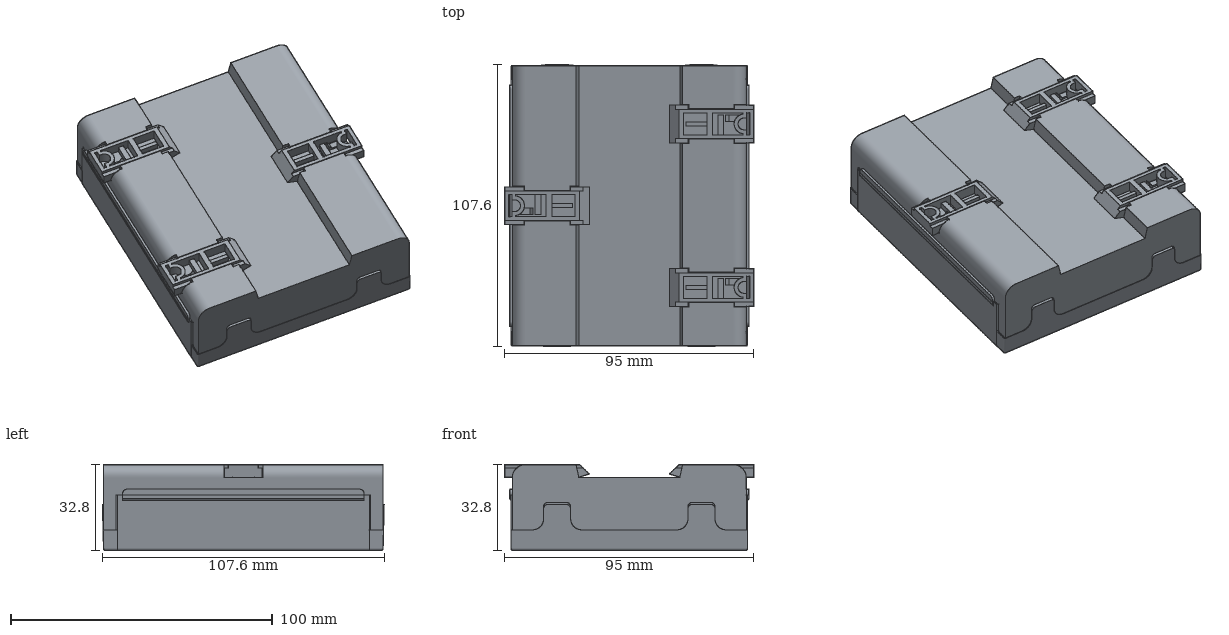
import cadquery as cq

overall_height = 32.8

housing_half_width = 44.6
wall_half_length = 53.3
shoulder_radius = 4.9
channel_floor_z = 28.0
channel_top_half_width = 20.3
channel_floor_half_width = 19.2

seam_z = 8.0
cover_half_width = 45.0
cover_bottom_fillet = 0.9
cover_corner_fillet = 0.5

flap_half_width = 45.2
flap_thickness = 2.2
flap_half_length = 48.0
flap_end_gap = 0.4
flap_top_z = 21.3

ridge_half_length = 46.0
ridge_bottom_z = 19.1
ridge_lip_z = 19.9
ridge_top_z = 23.4
ridge_lip_x = 45.7
ridge_top_x = 45.6
ridge_corner_radius = 1.6

tab_center_x = 27.5
tab_half_width = 5.2
tab_top_z = 17.6
tab_top_gap = 0.8
tab_corner_radius = 1.6
tab_flare_radius = 4.2
tab_thickness = 2.2
tab_top_half_length = 53.8

latch_outer_x = 47.5
latch_tip_x = 15.3
latch_tip_z = 29.2
latch_nose_top_x = 18.9
latch_y_spacing = 62.4
latch_clearance = 0.2
rail_half_width = 5.6
flange_half_width = 7.2
flange_top_z = 31.6
inner_flange_end_x = 22.5
outer_flange_start_x = 40.1

pocket_half_width = 4.2
pocket_floor_z = 28.5
nose_pocket_x = (20.7, 29.6)
main_pocket_x = (31.7, 43.4)
end_slot_x = (44.8, 45.9)
rib_top_z = 30.7
rib_start_x = 21.6
rib_half_width = 0.8
bar_x = (33.8, 35.9)
bar_free_y = 3.3
tooth_x = 36.7
tooth_slope_end_x = 38.0
tooth_foot_z = 29.2
tooth_y = (1.0, 3.3)
collar_center_x = 43.8
collar_outer_radius = 3.8
collar_inner_radius = 2.3


def block(x_range, y_range, z_range):
    """Box spanning the given (low, high) ranges."""
    size = [high - low for low, high in (x_range, y_range, z_range)]
    corner = (x_range[0], y_range[0], z_range[0])
    return cq.Workplane("XY").box(*size, centered=False).translate(corner)


def along_y(points, y_range):
    """Closed XZ polygon extruded over a Y range."""
    outline = cq.Workplane("XZ", origin=(0, y_range[1], 0)).polyline(points).close()
    return outline.extrude(y_range[1] - y_range[0])


def half_turn(shape):
    return shape.rotate((0, 0, 0), (0, 0, 1), 180)


def grip_ridge():
    """Whole ridge on the +X side, its top corners rounded."""
    root_x = flap_half_width - flap_thickness
    profile = [
        (root_x, ridge_bottom_z),
        (flap_half_width, ridge_bottom_z),
        (ridge_lip_x, ridge_lip_z),
        (ridge_top_x, ridge_top_z),
        (root_x, ridge_top_z),
    ]
    ridge = along_y(profile, (-ridge_half_length, ridge_half_length))
    rounding = (
        cq.Workplane("YZ")
        .rect(2 * ridge_half_length, 2 * ridge_top_z)
        .extrude(latch_outer_x)
        .edges("|X")
        .fillet(ridge_corner_radius)
    )
    return ridge.intersect(rounding)


def ridge_between(z_low, z_high):
    keep = block((0, latch_outer_x), (-wall_half_length, wall_half_length), (z_low, z_high))
    return grip_ridge().intersect(keep)


def leaning_envelope():
    """Space between the cover's end faces, which lean outward up to the tab tops."""
    return (
        cq.Workplane("YZ", origin=(-cover_half_width, 0, 0))
        .polyline([
            (-wall_half_length, 0),
            (wall_half_length, 0),
            (tab_top_half_length, tab_top_z),
            (-tab_top_half_length, tab_top_z),
        ])
        .close()
        .extrude(2 * cover_half_width)
    )


def tab_prism(top_z, outer_y):
    """Flared tab outline from the seam up, reaching from the tab's back face to outer_y."""
    shoulder_z = seam_z + tab_flare_radius
    corner_z = top_z - tab_corner_radius
    corner_x = tab_half_width - tab_corner_radius
    flare_x = tab_half_width + tab_flare_radius
    flare_mid = tab_flare_radius * 0.5 ** 0.5
    corner_mid = tab_corner_radius * 0.5 ** 0.5
    outline = (
        cq.Workplane("XZ", origin=(0, outer_y, 0))
        .moveTo(-flare_x, seam_z)
        .threePointArc((-flare_x + flare_mid, shoulder_z - flare_mid), (-tab_half_width, shoulder_z))
        .lineTo(-tab_half_width, corner_z)
        .threePointArc((-corner_x - corner_mid, corner_z + corner_mid), (-corner_x, top_z))
        .lineTo(corner_x, top_z)
        .threePointArc((corner_x + corner_mid, corner_z + corner_mid), (tab_half_width, corner_z))
        .lineTo(tab_half_width, shoulder_z)
        .threePointArc((flare_x - flare_mid, shoulder_z - flare_mid), (flare_x, seam_z))
        .close()
    )
    return outline.extrude(outer_y - wall_half_length + tab_thickness)


def snap_tab():
    """Tab at the +Y wall, its outer face in the leaning end face of the cover."""
    return tab_prism(tab_top_z, tab_top_half_length).intersect(leaning_envelope())


def at_tab_places(tab):
    """Four copies of a +Y tab, two at each end wall."""
    pair = [tab.translate((x, 0, 0)) for x in (-tab_center_x, tab_center_x)]
    return pair + [half_turn(copy) for copy in pair]


def latch_envelope(clearance=0.0):
    """Outside of a +X latch: central rail with lower flanges at both ends."""
    outer_x = latch_outer_x + clearance
    rail_y = rail_half_width + clearance
    flange_y = flange_half_width + clearance
    z_range = (channel_floor_z, overall_height)
    inner_x = (latch_tip_x, inner_flange_end_x + clearance)
    end_x = (outer_flange_start_x - clearance, outer_x)
    body = block((latch_tip_x, outer_x), (-rail_y, rail_y), z_range)
    for flange_x in (inner_x, end_x):
        body = body.union(block(flange_x, (-flange_y, flange_y), z_range))
    return body


def flange_steps():
    """Space above the flanges on both sides of the rail."""
    z_range = (flange_top_z, overall_height)
    low = block((latch_tip_x, latch_outer_x), (-flange_half_width, -rail_half_width), z_range)
    return low.union(low.mirror("XZ"))


def latch_nose_limit():
    """XZ section of the latch: a nose sloping to a tip over the channel."""
    section = [
        (latch_tip_x, latch_tip_z),
        (latch_nose_top_x, overall_height),
        (latch_outer_x, overall_height),
        (latch_outer_x, channel_floor_z),
        (channel_floor_half_width, channel_floor_z),
    ]
    return along_y(section, (-flange_half_width, flange_half_width))


def main_pocket():
    """Pocket stopped by the round collar, with a cross bar and a hooked tooth left standing."""
    z_range = (pocket_floor_z, overall_height)
    pocket = block(main_pocket_x, (-pocket_half_width, pocket_half_width), z_range)
    collar = (
        cq.Workplane("XY", origin=(collar_center_x, 0, pocket_floor_z))
        .circle(collar_outer_radius)
        .extrude(overall_height - pocket_floor_z)
    )
    bar = block(bar_x, (-pocket_half_width, bar_free_y), (pocket_floor_z, rib_top_z))
    tooth_profile = [
        (tooth_x, pocket_floor_z),
        (tooth_x, rib_top_z),
        (tooth_slope_end_x, tooth_foot_z),
        (collar_center_x, tooth_foot_z),
        (collar_center_x, pocket_floor_z),
    ]
    return pocket.cut(collar).cut(bar).cut(along_y(tooth_profile, tooth_y))


def nose_pocket():
    """Pocket near the nose with a lengthwise rib left standing."""
    pocket = block(
        nose_pocket_x,
        (-pocket_half_width, pocket_half_width),
        (pocket_floor_z, overall_height),
    )
    rib = block(
        (rib_start_x, nose_pocket_x[1]),
        (-rib_half_width, rib_half_width),
        (pocket_floor_z, rib_top_z),
    )
    return pocket.cut(rib)


def end_slot():
    """Cross slot right through the latch behind its end wall, opening into the blind collar bore."""
    slot = block(
        end_slot_x,
        (-pocket_half_width, pocket_half_width),
        (channel_floor_z, overall_height),
    )
    throat = block(
        (collar_center_x, end_slot_x[0]),
        (-collar_inner_radius, collar_inner_radius),
        (pocket_floor_z, overall_height),
    )
    bore = (
        cq.Workplane("XY", origin=(collar_center_x, 0, pocket_floor_z))
        .circle(collar_inner_radius)
        .extrude(overall_height - pocket_floor_z)
    )
    return slot.union(throat).union(bore)


def build_latch():
    latch = latch_envelope().cut(flange_steps()).intersect(latch_nose_limit())
    return latch.cut(nose_pocket()).cut(main_pocket()).cut(end_slot())


def at_latch_places(latch):
    """Two +X copies and one turned copy at the middle of the -X side."""
    copies = [latch.translate((0, y, 0)) for y in (-latch_y_spacing / 2, latch_y_spacing / 2)]
    return copies + [half_turn(latch)]


def housing_block():
    """Extruded XZ section with rounded shoulders and the top channel."""
    body = block(
        (-housing_half_width, housing_half_width),
        (-wall_half_length, wall_half_length),
        (seam_z, overall_height),
    )
    body = body.edges("|Y and >Z").fillet(shoulder_radius)
    channel = [
        (-channel_floor_half_width, channel_floor_z),
        (channel_floor_half_width, channel_floor_z),
        (channel_top_half_width, overall_height),
        (-channel_top_half_width, overall_height),
    ]
    return body.cut(along_y(channel, (-wall_half_length, wall_half_length)))


def flap_recess():
    recess_y = flap_half_length + flap_end_gap
    return block(
        (flap_half_width - flap_thickness, flap_half_width),
        (-recess_y, recess_y),
        (seam_z, flap_top_z),
    )


def build_housing():
    housing = housing_block()
    for side in (flap_recess(), half_turn(flap_recess())):
        housing = housing.cut(side)
    for opening in at_tab_places(tab_prism(tab_top_z + tab_top_gap, wall_half_length)):
        housing = housing.cut(opening)
    for seat in at_latch_places(latch_envelope(latch_clearance)):
        housing = housing.cut(seat)
    upper_ridge = ridge_between(flap_top_z, ridge_top_z)
    return housing.union(upper_ridge).union(half_turn(upper_ridge))


def cover_base():
    base = leaning_envelope().intersect(
        block(
            (-cover_half_width, cover_half_width),
            (-tab_top_half_length, tab_top_half_length),
            (0, seam_z),
        )
    )
    base = base.edges("(not |X) and (not |Y)").fillet(cover_corner_fillet)
    return base.faces("<Z").edges().fillet(cover_bottom_fillet)


def side_flap():
    """Flap on the +X side with its part of the grip ridge."""
    flap = block(
        (flap_half_width - flap_thickness, flap_half_width),
        (-flap_half_length, flap_half_length),
        (0, flap_top_z),
    )
    flap = flap.edges("|Y and >X and <Z").fillet(cover_bottom_fillet)
    return flap.union(ridge_between(ridge_bottom_z, flap_top_z))


def build_cover():
    cover = cover_base()
    for side in (side_flap(), half_turn(side_flap())):
        cover = cover.union(side)
    for tab in at_tab_places(snap_tab()):
        cover = cover.union(tab)
    return cover


housing = build_housing()
cover = build_cover()
latches = at_latch_places(build_latch())

result = cq.Compound.makeCompound([
    housing.solids().val(),
    cover.solids().val(),
    *[latch.solids().val() for latch in latches],
])